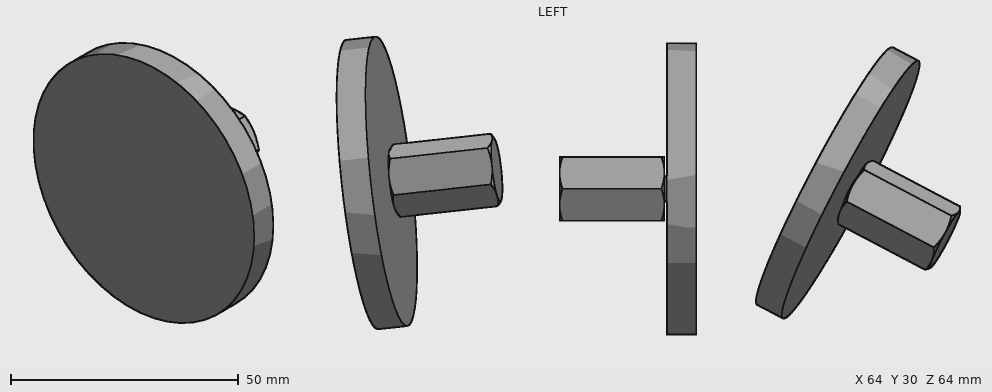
import cadquery as cq
import math

disc_diameter = 64.0
disc_thickness = 6.45
boss_base_diameter = 6.0
boss_tip_diameter = 4.85
boss_height = 0.6
overall_depth = 30.0
hex_across_flats = 14.0
chamfer_angle = 30.0

hex_start = disc_thickness + boss_height
hex_corner_radius = hex_across_flats / 2 / math.cos(math.radians(30))
chamfer_width = hex_corner_radius - hex_across_flats / 2
chamfer_depth = chamfer_width * math.tan(math.radians(chamfer_angle))


def make_disc():
    """Round disc with a low conical boss that supports the hex standoff."""
    disc_radius = disc_diameter / 2
    return (
        cq.Workplane("XY")
        .lineTo(disc_radius, 0)
        .lineTo(disc_radius, disc_thickness)
        .lineTo(boss_base_diameter / 2, disc_thickness)
        .lineTo(boss_tip_diameter / 2, hex_start)
        .lineTo(0, hex_start)
        .close()
        .revolve(360, (0, 0, 0), (0, 1, 0))
    )


def make_standoff():
    """Hex bar, corners along X, with conical chamfers at both ends."""
    end_radius = hex_across_flats / 2
    hex_bar = (
        cq.Workplane("XZ", origin=(0, hex_start, 0))
        .polygon(6, 2 * hex_corner_radius)
        .extrude(hex_start - overall_depth)
    )
    chamfer_envelope = (
        cq.Workplane("XY")
        .moveTo(0, hex_start)
        .lineTo(end_radius, hex_start)
        .lineTo(hex_corner_radius, hex_start + chamfer_depth)
        .lineTo(hex_corner_radius, overall_depth - chamfer_depth)
        .lineTo(end_radius, overall_depth)
        .lineTo(0, overall_depth)
        .close()
        .revolve(360, (0, 0, 0), (0, 1, 0))
    )
    return hex_bar.intersect(chamfer_envelope).solids()


disc = make_disc()
standoff = make_standoff()

result = cq.Compound.makeCompound([disc.val(), standoff.val()])